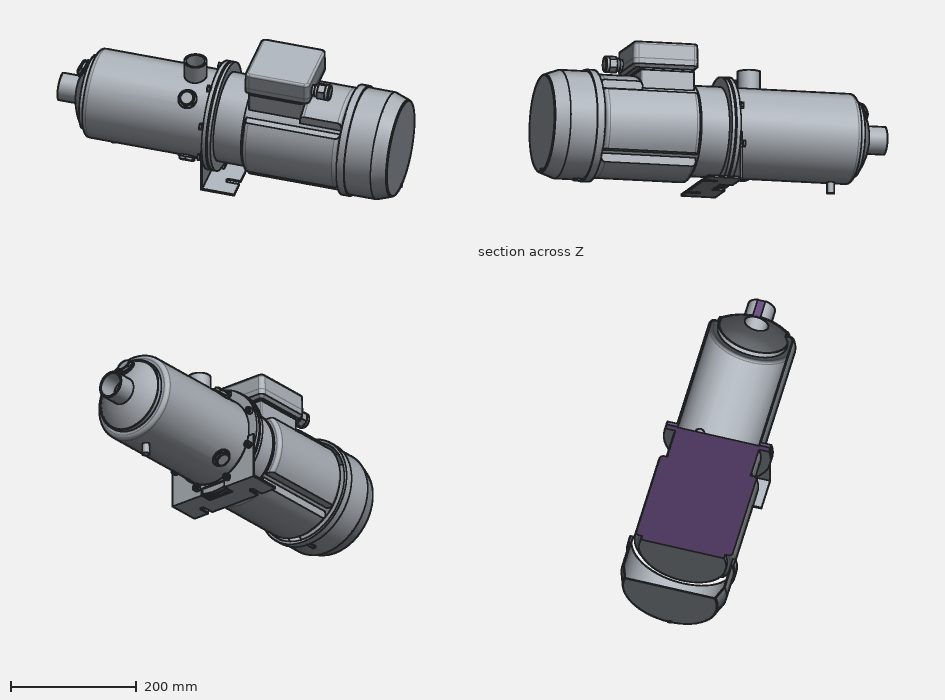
import cadquery as cq
import math

TOTAL_LENGTH = 566.5
FLOOR_Z = -89.5

BARREL_RADIUS = 144.5 / 2
WALL = 2.0
BARREL_FRONT_X = 54.5
BARREL_ROUNDING = 7.0
DOME_SPHERE_RADIUS = 99.0
DOME_EDGE_RADIUS = 59.0
COLLAR_RADIUS = 60.0
COLLAR_FRONT_X = 47.0
DOME_CENTER_X = COLLAR_FRONT_X + math.sqrt(DOME_SPHERE_RADIUS**2 - DOME_EDGE_RADIUS**2)
INLET_DIAMETER = 45.0
INLET_BORE = 39.0
PORT_DIAMETER = 36.0
PORT_BORE = 30.0
PORT_X = 223.0
PORT_TOP_Z = 101.0
DRAIN_DIAMETER = 12.0
DRAIN_X = 88.5

FLANGE_RADIUS = 177.0 / 2
FLANGE_FRONT_X = 259.5
JOINT_X = 266.5
FLANGE_BACK_X = 274.0
JOINT_GROOVE_WIDTH = 2.0
JOINT_GROOVE_DEPTH = 0.5
BOLT_COUNT = 8
BOLT_CIRCLE_RADIUS = 81.0
BOLT_HEAD_DIAMETER = 10.0
BOLT_HEAD_HEIGHT = 7.0
BOLT_SHANK_DIAMETER = 7.0
BOLT_SOCKET_DIAMETER = 7.0
BOLT_SOCKET_DEPTH = 3.5

PLUG_ANGLE = 52.0
DOME_PLUG_TILT = 27.0
PLUG_SHANK_DIAMETER = 17.0
PLUG_SHANK_LENGTH = 5.5
PLUG_WASHER_DIAMETER = 30.0
PLUG_WASHER_HEIGHT = 1.5
PLUG_HEX_FLATS = 22.5
PLUG_HEX_TURN = 30
PLUG_HEIGHT = 7.5
PLUG_TOP_DIAMETER = 20.5
PLUG_TOP_CHAMFER = 2.0

FOOT_THICKNESS = 3.0
FOOT_WIDTH = 166.5
FOOT_TOP_Z = -13.5
FOOT_BACK_X = 312.0
FOOT_CUTOUT_RADIUS = 74.0
FOOT_WINDOW_WIDTH = 47.0
FOOT_WINDOW_TOP_Z = -77.0
FOOT_WINDOW_BACK_X = 277.5
FOOT_SLOT_WIDTH = 8.5
FOOT_SLOT_LENGTH = 22.5
FOOT_SLOT_Y = 51.0

ADAPTER_RADIUS = 72.5
ADAPTER_BACK_X = 320.0
MOTOR_RADIUS = 72.0
MOTOR_BACK_X = 487.0
PANEL_RADIUS = 83.0
PANEL_HALF_WIDTH = 49.0
PANEL_FRONT_X = 324.0
PANEL_BACK_X = 480.0
TOP_PANEL_FRONT_X = 411.5
PANEL_ROUNDING = 6.0
PEDESTAL_FRONT_X = 324.5
PEDESTAL_BACK_X = 413.0
PEDESTAL_WIDTH = 87.0
PEDESTAL_TOP_Z = 87.0
PEDESTAL_ROUNDING = 1.5

COVER_WALL = 2.0
COVER_RING_RADIUS = 179.0 / 2
COVER_RING_FRONT_X = 484.0
COVER_RING_BACK_X = 496.5
COVER_RADIUS = 174.0 / 2
COVER_CONE_X = 540.0
COVER_END_RADIUS = 79.0
COVER_END_X = 565.0
COVER_END_CHAMFER = 1.5
COVER_LUG_LENGTH = 16.0
COVER_LUG_WIDTH = 5.5
END_LUG_BOTTOM_Z = -76.0
END_LUG_HEIGHT = 2.0

BOX_FRONT_X = 319.0
BOX_BACK_X = 426.0
BOX_WIDTH = 100.5
BOX_TOP_Z = 132.0
BOX_BOTTOM_Z = 90.5
BOX_SPLIT_Z = 105.5
BOX_DRAFT = 1.5
BOX_CORNER_RADIUS = 8.0
BOX_TOP_ROUNDING = 4.0
BOX_BOTTOM_CHAMFER = 5.0
NECK_INSET = 1.5
GLAND_Y = -25.5
GLAND_Z = 106.5
GLAND_STEM_DIAMETER = 17.0
GLAND_COLLAR_DIAMETER = 20.5
GLAND_COLLAR_X = 430.5
GLAND_NUT_X = 435.5
GLAND_NUT_FLATS = 22.5
GLAND_NUT_TURN = 90
GLAND_CAP_X = 448.0
GLAND_CAP_DIAMETER = 25.0
GLAND_END_X = 455.0
GLAND_CAP_CHAMFER = 1.5


def rod(x_start, x_end, diameter, y=0.0, z=0.0):
    """Cylinder parallel to X between two x positions."""
    section = cq.Workplane("YZ", origin=(x_start, y, z)).circle(diameter / 2)
    return section.extrude(x_end - x_start)


def block(x_start, x_end, width, z_bottom, z_top, y=0.0):
    """Box between x and z limits, centred on y."""
    size = (x_end - x_start, width, z_top - z_bottom)
    return cq.Workplane("XY").box(*size, centered=(False, True, False)).translate((x_start, y, z_bottom))


def casing_profile(inset):
    """Solid of revolution of the casing, with its surface moved inward by inset."""
    sphere_radius = DOME_SPHERE_RADIUS - inset
    edge_radius = DOME_EDGE_RADIUS - inset
    collar_radius = COLLAR_RADIUS - inset
    barrel_radius = BARREL_RADIUS - inset
    barrel_x = BARREL_FRONT_X + inset
    rounding = BARREL_ROUNDING - inset
    half_angle = math.asin(edge_radius / sphere_radius) / 2
    arc_middle = (
        DOME_CENTER_X - sphere_radius * math.cos(half_angle),
        sphere_radius * math.sin(half_angle),
    )
    edge_x = DOME_CENTER_X - sphere_radius * math.cos(2 * half_angle)
    rounding_middle = (
        barrel_x + rounding * (1 - math.sqrt(0.5)),
        barrel_radius - rounding * (1 - math.sqrt(0.5)),
    )
    profile = (
        cq.Workplane("XY")
        .moveTo(DOME_CENTER_X - sphere_radius, 0)
        .threePointArc(arc_middle, (edge_x, edge_radius))
        .lineTo(edge_x, collar_radius)
        .lineTo(barrel_x, collar_radius)
        .lineTo(barrel_x, barrel_radius - rounding)
        .threePointArc(rounding_middle, (barrel_x + rounding, barrel_radius))
        .lineTo(JOINT_X, barrel_radius)
        .lineTo(JOINT_X, 0)
        .close()
    )
    return profile.revolve(360, (0, 0, 0), (1, 0, 0))


casing_envelope = casing_profile(0)
casing_cavity = casing_profile(WALL)


def radial_plane(angle):
    """Plane on the barrel surface at the port's x position, facing outward toward -Y."""
    normal = (0, -math.cos(math.radians(angle)), math.sin(math.radians(angle)))
    origin = (PORT_X, BARREL_RADIUS * normal[1], BARREL_RADIUS * normal[2])
    return cq.Plane(origin=origin, xDir=(1, 0, 0), normal=normal)


def dome_plane():
    """Plane tangent to the dome where its plug sits."""
    normal = (-math.cos(math.radians(DOME_PLUG_TILT)), 0, math.sin(math.radians(DOME_PLUG_TILT)))
    origin = (DOME_CENTER_X + DOME_SPHERE_RADIUS * normal[0], 0, DOME_SPHERE_RADIUS * normal[2])
    return cq.Plane(origin=origin, xDir=(0, 1, 0), normal=normal)


PLUG_PLANES = [radial_plane(PLUG_ANGLE), radial_plane(-PLUG_ANGLE), dome_plane()]


def plug_shank(plane):
    shank = cq.Workplane(plane).workplane(offset=-PLUG_SHANK_LENGTH).circle(PLUG_SHANK_DIAMETER / 2)
    return shank.extrude(PLUG_SHANK_LENGTH + PLUG_WASHER_HEIGHT)


def make_plug(plane):
    """Hexagon-head plug whose washer follows the casing surface."""
    washer = (
        cq.Workplane(plane)
        .workplane(offset=-PLUG_SHANK_LENGTH)
        .circle(PLUG_WASHER_DIAMETER / 2)
        .extrude(PLUG_SHANK_LENGTH + PLUG_WASHER_HEIGHT)
    )
    hex_corners = PLUG_HEX_FLATS / math.cos(math.pi / 6)
    head = (
        cq.Workplane(plane)
        .transformed(rotate=(0, 0, PLUG_HEX_TURN))
        .polygon(6, hex_corners)
        .extrude(PLUG_HEIGHT)
    )
    trim_cone = (
        cq.Workplane(plane)
        .circle(hex_corners / 2)
        .extrude(PLUG_HEIGHT)
        .faces(cq.selectors.DirectionMinMaxSelector(plane.zDir))
        .edges()
        .chamfer(PLUG_TOP_CHAMFER, (hex_corners - PLUG_TOP_DIAMETER) / 2)
    )
    head = washer.union(head.intersect(trim_cone)).cut(casing_envelope)
    return head.union(plug_shank(plane))


def bolt_positions():
    for index in range(BOLT_COUNT):
        angle = 2 * math.pi * (index + 0.5) / BOLT_COUNT
        yield BOLT_CIRCLE_RADIUS * math.cos(angle), BOLT_CIRCLE_RADIUS * math.sin(angle)


def make_bolt(y, z):
    """Socket-head bolt; the lower bolts clamp the foot bracket."""
    seat_x = FLANGE_FRONT_X - FOOT_THICKNESS if z < 0 else FLANGE_FRONT_X
    head_x = seat_x - BOLT_HEAD_HEIGHT
    head = rod(head_x, seat_x, BOLT_HEAD_DIAMETER, y, z)
    socket = rod(head_x, head_x + BOLT_SOCKET_DEPTH, BOLT_SOCKET_DIAMETER, y, z)
    shank = rod(head_x + BOLT_SOCKET_DEPTH, JOINT_X, BOLT_SHANK_DIAMETER, y, z)
    return head.cut(socket).union(shank)


def upright_rod(x, diameter, height):
    """Cylinder from the pump axis to a signed height."""
    return cq.Workplane("XY", origin=(x, 0, 0)).circle(diameter / 2).extrude(height)


def make_casing():
    """Casing shell with flange, bolts, inlet, outlet port and drain."""
    casing = casing_envelope.union(rod(0, DOME_CENTER_X, INLET_DIAMETER))
    casing = casing.union(upright_rod(PORT_X, PORT_DIAMETER, PORT_TOP_Z))
    casing = casing.union(upright_rod(DRAIN_X, DRAIN_DIAMETER, FLOOR_Z))
    casing = casing.union(rod(FLANGE_FRONT_X, JOINT_X, 2 * FLANGE_RADIUS))
    casing = casing.cut(casing_cavity)
    casing = casing.cut(rod(0, DOME_CENTER_X, INLET_BORE))
    casing = casing.cut(upright_rod(PORT_X, PORT_BORE, PORT_TOP_Z))
    for plane in PLUG_PLANES:
        casing = casing.cut(plug_shank(plane))
    for y, z in bolt_positions():
        casing = casing.union(make_bolt(y, z))
    return casing


def make_foot():
    """Angle bracket clamped against the casing flange."""
    front_x = FLANGE_FRONT_X - FOOT_THICKNESS
    foot = block(front_x, FLANGE_FRONT_X, FOOT_WIDTH, FLOOR_Z, FOOT_TOP_Z)
    foot = foot.cut(rod(front_x, FLANGE_FRONT_X, 2 * FOOT_CUTOUT_RADIUS))
    foot = foot.union(block(front_x, FOOT_BACK_X, FOOT_WIDTH, FLOOR_Z, FLOOR_Z + FOOT_THICKNESS))
    foot = foot.cut(block(front_x, FOOT_WINDOW_BACK_X, FOOT_WINDOW_WIDTH, FLOOR_Z, FOOT_WINDOW_TOP_Z))
    slot_top = FLOOR_Z + FOOT_THICKNESS
    slot_center_x = FOOT_BACK_X - FOOT_SLOT_LENGTH + FOOT_SLOT_WIDTH / 2
    for y in (-FOOT_SLOT_Y, FOOT_SLOT_Y):
        foot = foot.cut(block(slot_center_x, FOOT_BACK_X, FOOT_SLOT_WIDTH, FLOOR_Z, slot_top, y))
        slot_end = cq.Workplane("XY", origin=(slot_center_x, y, FLOOR_Z)).circle(FOOT_SLOT_WIDTH / 2)
        foot = foot.cut(slot_end.extrude(FOOT_THICKNESS))
    for y, z in bolt_positions():
        if z < 0:
            foot = foot.cut(rod(front_x, FLANGE_FRONT_X, BOLT_SHANK_DIAMETER, y, z))
    return foot


def make_panel(front_x, turn):
    """Raised motor panel with a curved top and rounded ends, turned about the X axis."""
    panel = rod(front_x, PANEL_BACK_X, 2 * PANEL_RADIUS)
    panel = panel.faces("<X or >X").edges().fillet(PANEL_ROUNDING)
    panel = panel.intersect(block(front_x, PANEL_BACK_X, 2 * PANEL_HALF_WIDTH, 0, PANEL_RADIUS))
    return panel.rotate((0, 0, 0), (1, 0, 0), turn)


def make_motor():
    """Motor with its flange, adapter, raised panels and terminal box pedestal."""
    motor = rod(JOINT_X, FLANGE_BACK_X, 2 * FLANGE_RADIUS)
    groove_floor = rod(JOINT_X, JOINT_X + JOINT_GROOVE_WIDTH, 2 * (FLANGE_RADIUS - JOINT_GROOVE_DEPTH))
    motor = motor.cut(rod(JOINT_X, JOINT_X + JOINT_GROOVE_WIDTH, 2 * FLANGE_RADIUS)).union(groove_floor)
    motor = motor.union(rod(JOINT_X, ADAPTER_BACK_X, 2 * ADAPTER_RADIUS))
    motor = motor.union(rod(ADAPTER_BACK_X, MOTOR_BACK_X, 2 * MOTOR_RADIUS))
    for turn in (90, 180, 270):
        motor = motor.union(make_panel(PANEL_FRONT_X, turn))
    motor = motor.union(make_panel(TOP_PANEL_FRONT_X, 0))
    pedestal = block(PEDESTAL_FRONT_X, PEDESTAL_BACK_X, PEDESTAL_WIDTH, 0, PEDESTAL_TOP_Z)
    return motor.union(pedestal.edges("|Z").fillet(PEDESTAL_ROUNDING))


def make_fan_cover():
    """Hollow cover with an open front ring, a tapered back end and two lugs at the bottom."""
    bore_radius = COVER_RADIUS - COVER_WALL
    profile = [
        (COVER_RING_FRONT_X, bore_radius),
        (COVER_RING_FRONT_X, COVER_RING_RADIUS),
        (COVER_RING_BACK_X, COVER_RING_RADIUS),
        (COVER_RING_BACK_X, COVER_RADIUS),
        (COVER_CONE_X, COVER_RADIUS),
        (COVER_END_X - COVER_END_CHAMFER, COVER_END_RADIUS),
        (COVER_END_X, COVER_END_RADIUS - COVER_END_CHAMFER),
        (COVER_END_X, 0),
        (COVER_END_X - COVER_WALL, 0),
        (COVER_END_X - COVER_WALL, COVER_END_RADIUS - COVER_WALL),
        (COVER_CONE_X, bore_radius),
    ]
    cover = cq.Workplane("XY").polyline(profile).close().revolve(360, (0, 0, 0), (1, 0, 0))
    ring_lug = block(
        COVER_RING_BACK_X,
        COVER_RING_BACK_X + COVER_LUG_LENGTH,
        COVER_LUG_WIDTH,
        FLOOR_Z,
        COVER_WALL / 2 - COVER_RADIUS,
    )
    end_lug = block(
        COVER_END_X - COVER_WALL / 2,
        TOTAL_LENGTH,
        COVER_LUG_WIDTH,
        END_LUG_BOTTOM_Z,
        END_LUG_BOTTOM_Z + END_LUG_HEIGHT,
    )
    return cover.union(ring_lug).union(end_lug)


def make_gland():
    """Cable gland: stem, collar, hexagon nut and round cap."""
    nut_corners = GLAND_NUT_FLATS / math.cos(math.pi / 6)
    stem = rod(BOX_BACK_X - NECK_INSET, GLAND_NUT_X, GLAND_STEM_DIAMETER, GLAND_Y, GLAND_Z)
    collar = rod(GLAND_COLLAR_X, GLAND_NUT_X, GLAND_COLLAR_DIAMETER, GLAND_Y, GLAND_Z)
    nut = (
        cq.Workplane("YZ", origin=(GLAND_NUT_X, GLAND_Y, GLAND_Z))
        .transformed(rotate=(0, 0, GLAND_NUT_TURN))
        .polygon(6, nut_corners)
        .extrude(GLAND_CAP_X - GLAND_NUT_X)
    )
    cap = rod(GLAND_CAP_X, GLAND_END_X, GLAND_CAP_DIAMETER, GLAND_Y, GLAND_Z)
    cap = cap.faces(">X").edges().chamfer(GLAND_CAP_CHAMFER)
    return stem.union(collar).union(nut).union(cap)


def make_terminal_box():
    """Box and lid on a short neck, with the cable gland in the back side."""
    outline = cq.Sketch().rect(BOX_BACK_X - BOX_FRONT_X, BOX_WIDTH).vertices().fillet(BOX_CORNER_RADIUS)
    split_center = ((BOX_FRONT_X + BOX_BACK_X) / 2, 0, BOX_SPLIT_Z)
    split = cq.Workplane("XY", origin=split_center).placeSketch(outline)
    lid = split.extrude(BOX_TOP_Z - BOX_SPLIT_Z, taper=BOX_DRAFT)
    lid = lid.faces(">Z").edges().fillet(BOX_TOP_ROUNDING)
    tray = split.extrude(BOX_BOTTOM_Z - BOX_SPLIT_Z, taper=BOX_DRAFT)
    tray = tray.faces("<Z").edges().chamfer(BOX_BOTTOM_CHAMFER)
    neck = block(
        PEDESTAL_FRONT_X + NECK_INSET,
        PEDESTAL_BACK_X - NECK_INSET,
        PEDESTAL_WIDTH - 2 * NECK_INSET,
        PEDESTAL_TOP_Z,
        BOX_SPLIT_Z,
    )
    return lid.union(tray).union(neck).union(make_gland())


casing = make_casing()
plugs = [make_plug(plane) for plane in PLUG_PLANES]
foot = make_foot()
motor = make_motor()
fan_cover = make_fan_cover()
terminal_box = make_terminal_box()

bodies = [casing, *plugs, foot, motor, fan_cover, terminal_box]
result = cq.Compound.makeCompound([body.solids().val() for body in bodies])